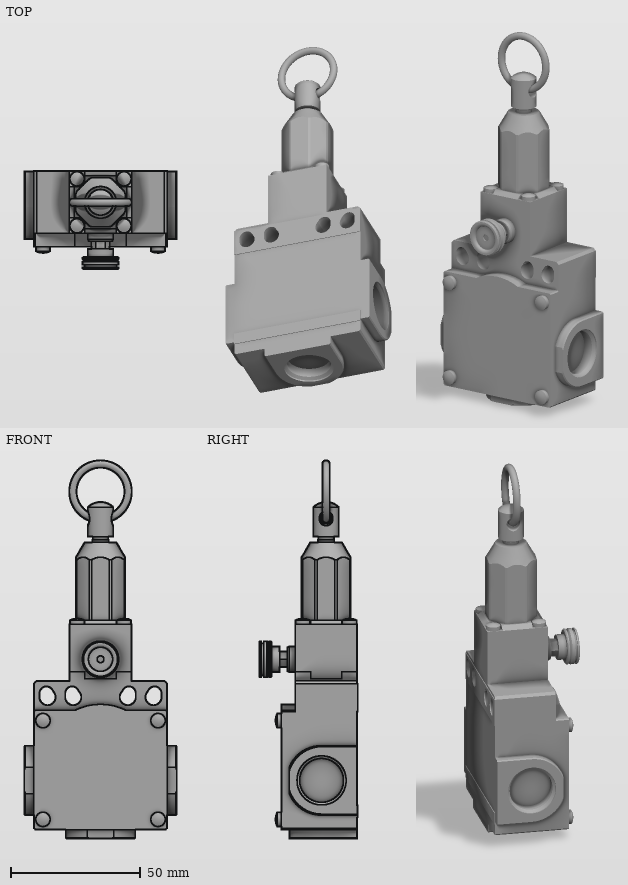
import cadquery as cq
import math


TOTAL_HEIGHT = 146.5
TOTAL_WIDTH = 59.0

BOX_HALF_WIDTH = 25.8
BOX_BOTTOM = 3.5
SHOULDER_TOP = 61.1
SHOULDER_CHAMFER = 1.0
BOTTOM_CHAMFER = 0.6
BACK_Y = 12.0
FLANGE_FRONT_Y = -12.0
COVER_FRONT_Y = -17.3
COVER_TOP = 49.7
COVER_CHAMFER = 0.5
BULGE_HALF_WIDTH = 10.0
BULGE_RISE = 2.3

BOSS_PROUD_SIDE = TOTAL_WIDTH / 2 - BOX_HALF_WIDTH
BOSS_RADIUS = 13.5
BOSS_AXIS_Y = -1.8
BOSS_AXIS_Z = 22.5
BOSS_FLAT_Y = -14.2
BOSS_CHAMFER = 0.5
PORT_RADIUS = 8.5
PORT_MOUTH_RADIUS = 9.5
PORT_MOUTH_DEPTH = 0.6
PORT_DEPTH = 5.3

OUTER_HOLE_X = 20.5
INNER_HOLE_X = 10.5
HOLE_RADIUS = 3.1
HOLE_Z = 54.8
UPPER_HOLE_RADIUS = 2.6
UPPER_HOLE_Z = 56.3

PAD_THICKNESS = 0.3
UPPER_PAD_BOTTOM = 49.2
LOWER_PAD_BOTTOM = 8.2
LOWER_PAD_TOP = 12.9

SCREW_RADIUS = 2.8
SCREW_RIM = 1.6
SCREW_DOME = 0.7
COVER_SCREW_X = 22.3
COVER_SCREW_LOW_Z = 7.5
COVER_SCREW_HIGH_Z = 45.7
HEAD_SCREW_OFFSET = 9.1

HEAD_HALF = 12.0
HEAD_BOTTOM = 64.6
HEAD_TOP = 82.9
TAB_HALF_WIDTH = 6.0
TAB_BOTTOM = 62.0
PLATE_HEIGHT = 1.6
PLATE_INSET = 1.8

SLEEVE_SIDES = 8
SLEEVE_HALF_FLATS = 9.5
SLEEVE_RADIUS = 10.1
SLEEVE_CONE_BOTTOM = 108.0
SLEEVE_TOP = 114.7
SLEEVE_TOP_RADIUS = 6.2

COLLAR_RADIUS = 3.2
COLLAR_TOP = 115.7
NECK_RADIUS = 3.1
EYE_BOTTOM = 116.9
EYE_RADIUS = 5.0
EYE_SHOULDER = 128.3
EYE_TOP = 130.4
EYE_HOLE_RADIUS = 2.8
EYE_WAIST_RADIUS = 1.9
EYE_HOLE_Z = 124.0

RING_OUTER_RADIUS = 12.2
RING_WIRE_RADIUS = 1.5

KNOB_Z = 69.5
KNOB_GUIDE_Y = -15.1
KNOB_NECK_Y = -18.0
KNOB_DISC_Y = -21.1
KNOB_FRONT_Y = -26.0
KNOB_GUIDE_RADIUS = 5.0
KNOB_GUIDE_CHAMFER = 0.5
KNOB_GUIDE_CHAMFER_LENGTH = 0.9
KNOB_HEX_RADIUS = 3.5
KNOB_DISC_RADIUS = 7.0
KNOB_EDGE_CHAMFER = 0.5
KNOB_GROOVE_DEPTH = 0.7
KNOB_GROOVE_WIDTH = 0.9
KNOB_GROOVE_Y = -24.6
KNOB_VEE_WIDTH = 1.0
KNOB_VEE_Y = -22.4
KNOB_DISH_MOUTH_RADIUS = 6.0
KNOB_DISH_FLOOR_RADIUS = 4.7
KNOB_SOCKET_RADIUS = 1.3
KNOB_SOCKET_DEPTH = 0.6


def block(x_range, y_range, z_range):
    """Box given by its lower and upper limit along each axis."""
    lows, highs = zip(x_range, y_range, z_range)
    size = [high - low for low, high in zip(lows, highs)]
    return cq.Workplane("XY").box(*size, centered=False).translate(lows)


def dome_middle(base_radius, rise, top_z):
    """Point (radius, z) halfway along the arc of a spherical cap whose apex is at top_z."""
    sphere_radius = (base_radius**2 + rise**2) / (2 * rise)
    half_angle = math.asin(base_radius / sphere_radius) / 2
    return sphere_radius * math.sin(half_angle), top_z - sphere_radius * (1 - math.cos(half_angle))


def screw():
    """Screw head standing on z = 0: a rim with a domed top."""
    top = SCREW_RIM + SCREW_DOME
    return (
        cq.Workplane("XZ")
        .lineTo(SCREW_RADIUS, 0)
        .lineTo(SCREW_RADIUS, SCREW_RIM)
        .threePointArc(dome_middle(SCREW_RADIUS, SCREW_DOME, top), (0, top))
        .close()
        .revolve(360, (0, 0), (0, 1))
    )


def flange_block():
    """Full-height rear part of the housing with chamfered shoulders."""
    body = block((-BOX_HALF_WIDTH, BOX_HALF_WIDTH), (FLANGE_FRONT_Y, BACK_Y), (BOX_BOTTOM, SHOULDER_TOP))
    return body.faces(">Z").edges("|Y").chamfer(SHOULDER_CHAMFER)


def cover_block():
    """Front part of the housing; its top edge rises in an arc at the middle."""
    return (
        cq.Workplane("XZ", origin=(0, BACK_Y, 0))
        .moveTo(-BOX_HALF_WIDTH, BOX_BOTTOM)
        .lineTo(BOX_HALF_WIDTH, BOX_BOTTOM)
        .lineTo(BOX_HALF_WIDTH, COVER_TOP - COVER_CHAMFER)
        .lineTo(BOX_HALF_WIDTH - COVER_CHAMFER, COVER_TOP)
        .lineTo(BULGE_HALF_WIDTH, COVER_TOP)
        .threePointArc((0, COVER_TOP + BULGE_RISE), (-BULGE_HALF_WIDTH, COVER_TOP))
        .lineTo(COVER_CHAMFER - BOX_HALF_WIDTH, COVER_TOP)
        .lineTo(-BOX_HALF_WIDTH, COVER_TOP - COVER_CHAMFER)
        .close()
        .extrude(BACK_Y - COVER_FRONT_Y)
    )


def boss(height):
    """Conduit boss standing on z = 0: a D shape around z, cut flat at the front."""
    back = BACK_Y - BOSS_AXIS_Y
    body = (
        cq.Workplane("XY")
        .moveTo(-BOSS_RADIUS, back)
        .lineTo(-BOSS_RADIUS, 0)
        .threePointArc((0, -BOSS_RADIUS), (BOSS_RADIUS, 0))
        .lineTo(BOSS_RADIUS, back)
        .close()
        .extrude(height)
        .faces(">Z")
        .edges("not >Y")
        .chamfer(BOSS_CHAMFER)
    )
    flat = BOSS_FLAT_Y - BOSS_AXIS_Y
    keep = block((-BOSS_RADIUS, BOSS_RADIUS), (flat, back), (0, height))
    return body.intersect(keep)


def port(height):
    """Blind conduit port opening at z = height: a wide mouth, a 45 degree cone and a narrower bore."""
    cone_depth = PORT_MOUTH_RADIUS - PORT_RADIUS
    return (
        cq.Workplane("XZ")
        .moveTo(0, height)
        .lineTo(PORT_MOUTH_RADIUS, height)
        .lineTo(PORT_MOUTH_RADIUS, height - PORT_MOUTH_DEPTH)
        .lineTo(PORT_RADIUS, height - PORT_MOUTH_DEPTH - cone_depth)
        .lineTo(PORT_RADIUS, height - PORT_DEPTH)
        .lineTo(0, height - PORT_DEPTH)
        .close()
        .revolve(360, (0, 0), (0, 1))
    )


def on_side(shape, direction):
    """Move a boss or port from z = 0 to the +X (1) or -X (-1) side of the housing."""
    turned = shape.rotate((0, 0, 0), (0, 1, 0), 90 * direction)
    return turned.translate((direction * BOX_HALF_WIDTH, BOSS_AXIS_Y, BOSS_AXIS_Z))


def on_bottom(shape):
    """Move a boss or port from z = 0 to the underside of the housing."""
    turned = shape.rotate((0, 0, 0), (0, 1, 0), 180)
    return turned.translate((0, BOSS_AXIS_Y, BOX_BOTTOM))


def mounting_hole(side, outer):
    """Hole with a straight outboard edge; the outer pair also has a straight inboard slope."""
    lower_x = OUTER_HOLE_X if outer else INNER_HOLE_X
    upper_x = lower_x + HOLE_RADIUS - UPPER_HOLE_RADIUS
    edge_x = lower_x + HOLE_RADIUS
    back_y = BACK_Y + PAD_THICKNESS
    depth = back_y - FLANGE_FRONT_Y
    plane = cq.Workplane("XZ", origin=(0, back_y, 0))
    lower = plane.center(lower_x, HOLE_Z).circle(HOLE_RADIUS).extrude(depth)
    upper = plane.center(upper_x, UPPER_HOLE_Z).circle(UPPER_HOLE_RADIUS).extrude(depth)
    bridge_points = [(lower_x, HOLE_Z), (edge_x, HOLE_Z), (edge_x, UPPER_HOLE_Z), (upper_x, UPPER_HOLE_Z)]
    if outer:
        bridge_points += inboard_tangent(lower_x, upper_x)
    bridge = plane.polyline(bridge_points).close().extrude(depth)
    hole = lower.union(upper).union(bridge)
    return hole if side > 0 else hole.mirror("YZ")


def inboard_tangent(lower_x, upper_x):
    """End points of the line touching the upper and the lower hole circle on their inboard side."""
    run = lower_x - upper_x
    drop = HOLE_Z - UPPER_HOLE_Z
    axis_angle = math.atan2(drop, run)
    normal_angle = axis_angle - math.acos((UPPER_HOLE_RADIUS - HOLE_RADIUS) / math.hypot(run, drop))
    normal = (math.cos(normal_angle), math.sin(normal_angle))
    return [
        (upper_x + UPPER_HOLE_RADIUS * normal[0], UPPER_HOLE_Z + UPPER_HOLE_RADIUS * normal[1]),
        (lower_x + HOLE_RADIUS * normal[0], HOLE_Z + HOLE_RADIUS * normal[1]),
    ]


def head_seat():
    """Raised square on the shoulders, notched on all four sides for the head's tabs."""
    seat = block((-HEAD_HALF, HEAD_HALF), (-HEAD_HALF, HEAD_HALF), (SHOULDER_TOP, HEAD_BOTTOM))
    return seat.cut(head_tabs())


def head_tabs():
    """Cross-shaped tongue below the head that fits the notches of the seat."""
    z_range = (TAB_BOTTOM, HEAD_BOTTOM)
    along_x = block((-HEAD_HALF, HEAD_HALF), (-TAB_HALF_WIDTH, TAB_HALF_WIDTH), z_range)
    along_y = block((-TAB_HALF_WIDTH, TAB_HALF_WIDTH), (-HEAD_HALF, HEAD_HALF), z_range)
    return along_x.union(along_y)


def make_housing():
    body = flange_block().union(cover_block())
    body = body.faces("<Z").edges("|Y").chamfer(BOTTOM_CHAMFER)
    body = body.union(head_seat())
    x_range = (-BOX_HALF_WIDTH, BOX_HALF_WIDTH)
    y_range = (BACK_Y, BACK_Y + PAD_THICKNESS)
    body = body.union(block(x_range, y_range, (UPPER_PAD_BOTTOM, SHOULDER_TOP - SHOULDER_CHAMFER)))
    body = body.union(block(x_range, y_range, (LOWER_PAD_BOTTOM, LOWER_PAD_TOP)))
    for side in (-1, 1):
        body = body.union(on_side(boss(BOSS_PROUD_SIDE), side))
        body = body.cut(on_side(port(BOSS_PROUD_SIDE), side))
        for outer in (True, False):
            body = body.cut(mounting_hole(side, outer))
        for z in (COVER_SCREW_LOW_Z, COVER_SCREW_HIGH_Z):
            facing_front = screw().rotate((0, 0, 0), (1, 0, 0), 90)
            body = body.union(facing_front.translate((side * COVER_SCREW_X, COVER_FRONT_Y, z)))
    body = body.union(on_bottom(boss(BOX_BOTTOM)))
    return body.cut(on_bottom(port(BOX_BOTTOM)))


def head_plate():
    """Sloped-edge plate on the head, cut away at the corners for the screws."""
    top_side = 2 * (HEAD_HALF - PLATE_INSET)
    plate = (
        cq.Workplane("XY", origin=(0, 0, HEAD_TOP))
        .rect(2 * HEAD_HALF, 2 * HEAD_HALF)
        .workplane(offset=PLATE_HEIGHT)
        .rect(top_side, top_side)
        .loft(ruled=True)
    )
    corner = HEAD_HALF - TAB_HALF_WIDTH
    middle = (HEAD_HALF + TAB_HALF_WIDTH) / 2
    corners = (
        cq.Workplane("XY", origin=(0, 0, HEAD_TOP))
        .rect(2 * middle, 2 * middle, forConstruction=True)
        .vertices()
        .rect(corner, corner)
        .extrude(PLATE_HEIGHT)
    )
    return plate.cut(corners)


def sleeve():
    """Octagonal sleeve with turned corners and a conical top."""
    half_sector = math.pi / SLEEVE_SIDES
    circumradius = SLEEVE_HALF_FLATS / math.cos(half_sector)
    octagon = (
        cq.Workplane("XY", origin=(0, 0, HEAD_TOP))
        .polygon(SLEEVE_SIDES, 2 * circumradius)
        .extrude(SLEEVE_TOP - HEAD_TOP)
        .rotate((0, 0, 0), (0, 0, 1), math.degrees(half_sector))
    )
    turned = (
        cq.Workplane("XZ")
        .moveTo(0, HEAD_TOP)
        .lineTo(SLEEVE_RADIUS, HEAD_TOP)
        .lineTo(SLEEVE_RADIUS, SLEEVE_CONE_BOTTOM)
        .lineTo(SLEEVE_TOP_RADIUS, SLEEVE_TOP)
        .lineTo(0, SLEEVE_TOP)
        .close()
        .revolve(360, (0, 0), (0, 1))
    )
    return octagon.intersect(turned)


def make_head():
    body = block((-HEAD_HALF, HEAD_HALF), (-HEAD_HALF, HEAD_HALF), (HEAD_BOTTOM, HEAD_TOP))
    body = body.union(head_tabs()).union(head_plate()).union(sleeve())
    for x in (-HEAD_SCREW_OFFSET, HEAD_SCREW_OFFSET):
        for y in (-HEAD_SCREW_OFFSET, HEAD_SCREW_OFFSET):
            body = body.union(screw().translate((x, y, HEAD_TOP)))
    return body


def make_rod():
    """Stepped rod with a domed end and a waisted cross hole for the ring."""
    body = (
        cq.Workplane("XZ")
        .moveTo(0, SLEEVE_TOP)
        .lineTo(COLLAR_RADIUS, SLEEVE_TOP)
        .lineTo(COLLAR_RADIUS, COLLAR_TOP)
        .lineTo(NECK_RADIUS, COLLAR_TOP)
        .lineTo(NECK_RADIUS, EYE_BOTTOM)
        .lineTo(EYE_RADIUS, EYE_BOTTOM)
        .lineTo(EYE_RADIUS, EYE_SHOULDER)
        .threePointArc(dome_middle(EYE_RADIUS, EYE_TOP - EYE_SHOULDER, EYE_TOP), (0, EYE_TOP))
        .close()
        .revolve(360, (0, 0), (0, 1))
    )
    cross_hole = (
        cq.Workplane("XY")
        .moveTo(-EYE_RADIUS, 0)
        .lineTo(-EYE_RADIUS, EYE_HOLE_RADIUS)
        .lineTo(0, EYE_WAIST_RADIUS)
        .lineTo(EYE_RADIUS, EYE_HOLE_RADIUS)
        .lineTo(EYE_RADIUS, 0)
        .close()
        .revolve(360, (0, 0), (1, 0))
        .translate((0, 0, EYE_HOLE_Z))
    )
    return body.cut(cross_hole)


def make_ring():
    """Round-wire ring standing in the XZ plane through the rod's cross hole."""
    path_radius = RING_OUTER_RADIUS - RING_WIRE_RADIUS
    centre = cq.Vector(0, 0, TOTAL_HEIGHT - RING_OUTER_RADIUS)
    torus = cq.Solid.makeTorus(path_radius, RING_WIRE_RADIUS, centre, cq.Vector(0, 1, 0))
    return cq.Workplane(obj=torus)


def turned_on_knob_axis(profile):
    """Revolve an XY half profile (radius, y) around the knob axis."""
    return profile.close().revolve(360, (0, 0), (0, 1)).translate((0, 0, KNOB_Z))


def knob_guide():
    """Guide bush against the head, with a chamfered front rim."""
    return turned_on_knob_axis(
        cq.Workplane("XY")
        .moveTo(0, -HEAD_HALF)
        .lineTo(KNOB_GUIDE_RADIUS, -HEAD_HALF)
        .lineTo(KNOB_GUIDE_RADIUS, KNOB_GUIDE_Y + KNOB_GUIDE_CHAMFER_LENGTH)
        .lineTo(KNOB_GUIDE_RADIUS - KNOB_GUIDE_CHAMFER, KNOB_GUIDE_Y)
        .lineTo(0, KNOB_GUIDE_Y)
    )


def knob_stem():
    """Hexagonal stem between the guide bush and the knob."""
    stem = cq.Workplane("XZ").polygon(6, 2 * KNOB_HEX_RADIUS).extrude(KNOB_GUIDE_Y - KNOB_NECK_Y)
    return stem.translate((0, KNOB_GUIDE_Y, KNOB_Z))


def knob_grip():
    """Neck and ribbed grip, with a round-lipped dish and a centre hole in the front face."""
    groove_radius = KNOB_DISC_RADIUS - KNOB_GROOVE_DEPTH
    edge_radius = KNOB_DISC_RADIUS - KNOB_EDGE_CHAMFER
    vee_half = KNOB_VEE_WIDTH / 2
    groove_half = KNOB_GROOVE_WIDTH / 2
    lip_radius = KNOB_DISH_MOUTH_RADIUS - KNOB_DISH_FLOOR_RADIUS
    floor_y = KNOB_FRONT_Y + lip_radius
    lip_middle = (
        KNOB_DISH_MOUTH_RADIUS - lip_radius * math.sin(math.pi / 4),
        floor_y - lip_radius * math.sin(math.pi / 4),
    )
    return turned_on_knob_axis(
        cq.Workplane("XY")
        .moveTo(0, KNOB_NECK_Y)
        .lineTo(KNOB_GUIDE_RADIUS, KNOB_NECK_Y)
        .lineTo(KNOB_GUIDE_RADIUS, KNOB_DISC_Y)
        .lineTo(edge_radius, KNOB_DISC_Y)
        .lineTo(KNOB_DISC_RADIUS, KNOB_DISC_Y - KNOB_EDGE_CHAMFER)
        .lineTo(KNOB_DISC_RADIUS, KNOB_VEE_Y + vee_half)
        .lineTo(groove_radius, KNOB_VEE_Y)
        .lineTo(KNOB_DISC_RADIUS, KNOB_VEE_Y - vee_half)
        .lineTo(KNOB_DISC_RADIUS, KNOB_GROOVE_Y + groove_half)
        .lineTo(groove_radius, KNOB_GROOVE_Y + groove_half)
        .lineTo(groove_radius, KNOB_GROOVE_Y - groove_half)
        .lineTo(KNOB_DISC_RADIUS, KNOB_GROOVE_Y - groove_half)
        .lineTo(KNOB_DISC_RADIUS, KNOB_FRONT_Y + KNOB_EDGE_CHAMFER)
        .lineTo(edge_radius, KNOB_FRONT_Y)
        .lineTo(KNOB_DISH_MOUTH_RADIUS, KNOB_FRONT_Y)
        .threePointArc(lip_middle, (KNOB_DISH_FLOOR_RADIUS, floor_y))
        .lineTo(KNOB_SOCKET_RADIUS, floor_y)
        .lineTo(KNOB_SOCKET_RADIUS, floor_y + KNOB_SOCKET_DEPTH)
        .lineTo(0, floor_y + KNOB_SOCKET_DEPTH)
    )


def make_knob():
    return knob_guide().union(knob_stem()).union(knob_grip())


housing = make_housing()
head = make_head()
rod = make_rod()
ring = make_ring()
knob = make_knob()

result = cq.Compound.makeCompound([housing.val(), head.val(), rod.val(), ring.val(), knob.val()])